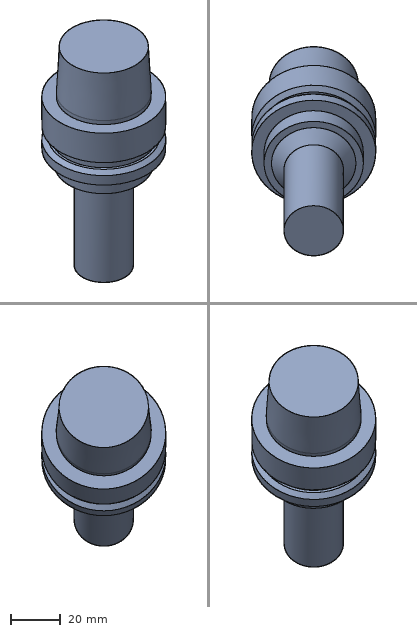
import cadquery as cq
import math

total_length = 109.5
taper_length = 25.0
flange_length = 26.0
collar_length = 8.0
cone_length = 5.0

flange_top = total_length - taper_length
flange_bottom = flange_top - flange_length
collar_bottom = flange_bottom - collar_length
cone_bottom = collar_bottom - cone_length

flange_radius = 50.0 / 2
collar_radius = 40.0 / 2
shank_radius = 24.0 / 2
cone_top_radius = shank_radius + cone_length

neck_radius = 38.3 / 2
neck_length = 2.0
taper_ratio = 1 / 10
taper_top_radius = neck_radius - (taper_length - neck_length) * taper_ratio / 2

groove_radius = 43.0 / 2
groove_width = 3.75
groove_offset = 18.0
groove_center = flange_top - groove_offset
groove_mouth_width = 6.5
groove_flank_angle = 30.0
flank_height = (groove_mouth_width - groove_width) / 2
flank_inner_radius = flange_radius - flank_height / math.tan(math.radians(groove_flank_angle))


def cylinder(radius, bottom, top):
    """Cylinder about the Z axis between two heights."""
    return cq.Workplane("XY").workplane(offset=bottom).circle(radius).extrude(top - bottom)


def revolve_profile(points):
    """Solid of revolution about Z from a closed (radius, height) outline."""
    return cq.Workplane("YZ").polyline(points).close().revolve(360, (0, 0, 0), (0, 1, 0))


def make_taper():
    neck_top = flange_top + neck_length
    neck = cylinder(neck_radius, flange_top, neck_top)
    taper = revolve_profile([
        (0, neck_top),
        (neck_radius, neck_top),
        (taper_top_radius, total_length),
        (0, total_length),
    ])
    return neck.union(taper)


def make_groove():
    half_mouth = groove_mouth_width / 2
    half_width = groove_width / 2
    return revolve_profile([
        (flange_radius, groove_center - half_mouth),
        (flank_inner_radius, groove_center - half_width),
        (groove_radius, groove_center - half_width),
        (groove_radius, groove_center + half_width),
        (flank_inner_radius, groove_center + half_width),
        (flange_radius, groove_center + half_mouth),
    ])


def make_flange():
    ring = cylinder(flange_radius, flange_bottom, flange_top)
    return ring.cut(make_groove())


def make_cone():
    return revolve_profile([
        (0, cone_bottom),
        (shank_radius, cone_bottom),
        (cone_top_radius, collar_bottom),
        (0, collar_bottom),
    ])


shank = cylinder(shank_radius, 0, cone_bottom)
collar = cylinder(collar_radius, collar_bottom, flange_bottom)

result = shank.union(make_cone()).union(collar).union(make_flange()).union(make_taper())